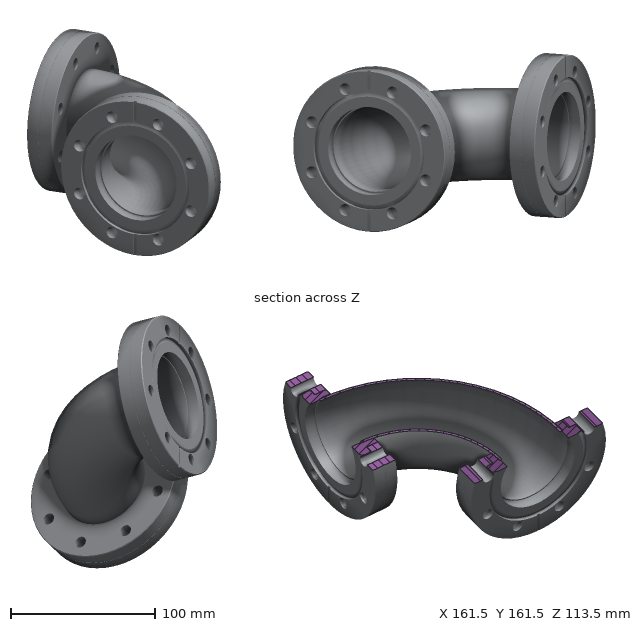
import cadquery as cq
overall = 161.5
flange_diameter = 113.5
face_offset = overall / 2
port_offset = face_offset - flange_diameter / 2

tube_outer_diameter = 64.0
tube_inner_diameter = 60.1
bend_radius = 95.3
tube_end_depth = face_offset + port_offset - bend_radius

flange_thickness = 19.2
edge_chamfer = 0.57
seal_recess_diameter = 82.5
insert_seat_depth = 9.7
hub_diameter = 72.4

bolt_count = 8
bolt_hole_diameter = 8.4
bolt_circle_diameter = 92.0

rim_groove_center = flange_thickness / 2
rim_groove_width = 1.3
rim_groove_depth = 0.2
leak_groove_width = 2.3
leak_groove_depth = 0.8

insert_diameter = 82.4
insert_bore_diameter = 62.0
insert_face_depth = 1.3
seal_edge_diameter = 76.4
seal_slope_height = 1.1


def disc(diameter, top_depth, bottom_depth):
    """Cylinder along Z between two depths below the flange face at Z = 0."""
    return cq.Workplane("XY").workplane(offset=-bottom_depth).circle(diameter / 2).extrude(bottom_depth - top_depth)


def make_elbow(diameter):
    """Solid quarter bend joining the two port axes."""
    return (
        cq.Workplane("YZ", origin=(tube_end_depth - face_offset, port_offset, 0))
        .circle(diameter / 2)
        .revolve(90, (-bend_radius, 1.6, 0), (-bend_radius, 0, 0))
    )


def make_ring():
    """Flange ring with its face at Z = 0 and its body below."""
    ring = disc(flange_diameter, 0, flange_thickness).edges().chamfer(edge_chamfer)

    ring = ring.cut(disc(seal_recess_diameter, 0, insert_seat_depth))
    ring = ring.cut(disc(hub_diameter, 0, flange_thickness))

    bolt_holes = (
        cq.Workplane("XY")
        .polarArray(bolt_circle_diameter / 2, 180 / bolt_count, 360, bolt_count)
        .circle(bolt_hole_diameter / 2)
        .extrude(-flange_thickness)
    )
    ring = ring.cut(bolt_holes)

    groove_top = rim_groove_center - rim_groove_width / 2
    groove_bottom = rim_groove_center + rim_groove_width / 2
    groove_floor_diameter = flange_diameter - 2 * rim_groove_depth
    rim_groove = disc(flange_diameter, groove_top, groove_bottom).cut(
        disc(groove_floor_diameter, groove_top, groove_bottom)
    )
    ring = ring.cut(rim_groove)

    leak_groove = cq.Workplane("XY").rect(leak_groove_width, flange_diameter).extrude(-leak_groove_depth)
    return ring.cut(leak_groove)


def make_insert():
    """Insert whose disc sits in the ring and whose hub reaches the back of the ring."""
    insert = disc(insert_diameter, insert_face_depth, insert_seat_depth)
    slope_width = (insert_diameter - seal_edge_diameter) / 2
    insert = insert.faces(">Z").chamfer(seal_slope_height, slope_width)
    insert = insert.union(disc(hub_diameter, insert_seat_depth, flange_thickness))
    return insert.cut(disc(insert_bore_diameter, insert_face_depth, tube_end_depth))


def place_on_front(body):
    """Turn the face toward -Y, on the port axis at +X."""
    return body.rotate((0, 0, 0), (1, 0, 0), 90).translate((port_offset, -face_offset, 0))


def place_on_left(body):
    """Turn the face toward -X, on the port axis at +Y."""
    return body.rotate((0, 0, 0), (1, 0, 0), 90).rotate((0, 0, 0), (0, 0, 1), -90).translate(
        (-face_offset, port_offset, 0)
    )


elbow_envelope = make_elbow(tube_outer_diameter)
elbow = elbow_envelope.cut(make_elbow(tube_inner_diameter))

flange_bodies = []
for place in (place_on_front, place_on_left):
    ring = place(make_ring())
    insert = place(make_insert()).cut(elbow_envelope)
    flange_bodies += [ring.val(), insert.val()]

result = cq.Compound.makeCompound([elbow.val(), *flange_bodies])